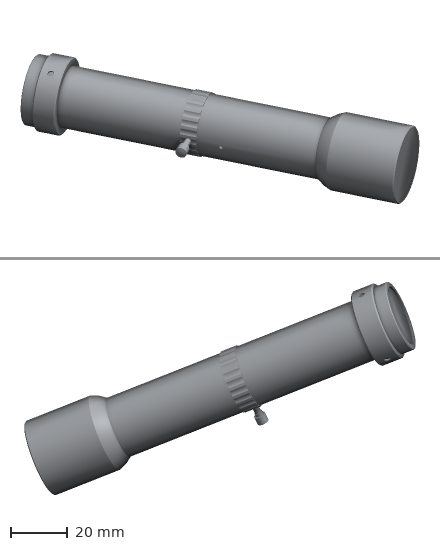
import cadquery as cq
import math

total_length = 139.0
tube_radius = 11.1

barrel_radius = 12.8
barrel_length = 4.5
barrel_chamfer = 0.3
neck_down_radius = 12.5
lens_radius = 11.0
lens_recess = 0.7
lens_bulge = 0.5
collar_radius = 14.0
collar_start = 4.7
collar_length = 8.3
collar_middle = collar_start + collar_length / 2
edge_chamfer = 0.4

screw_hole_diameter = 2.4
screw_hole_depth = 0.7
screw_hole_count = 3
first_screw_hole_angle = 66.0

ring_radius = 11.5
ring_start = 58.6
ring_length = 6.1
ring_middle = ring_start + ring_length / 2
ring_groove_count = 22
ring_groove_depth = 0.35
ring_land_share = 0.34

stem_radius = 1.18
neck_radius = 1.46
neck_start = 14.6
head_radius = 2.1
head_start = 15.8
head_end = 19.3
head_bulge = 0.4

side_hole_diameter = 1.4
side_hole_depth = 1.4
side_hole_position = 73.9

bell_radius = collar_radius
flare_start = 108.8
bell_start = 114.0
flare_bulge = 0.35


def cylinder_along_tube(start, length, radius):
    return cq.Workplane("YZ", origin=(start, 0, 0)).circle(radius).extrude(length)


def radial_hole(position, surface_radius, diameter, depth):
    """Cutter entering a round surface from the -Y side."""
    clearance = 1.4
    return (
        cq.Workplane("XZ", origin=(position, depth - surface_radius, 0))
        .circle(diameter / 2)
        .extrude(depth + clearance)
    )


def arc_radius(half_chord, rise):
    """Radius of an arc that rises by `rise` over a chord of twice `half_chord`."""
    return (half_chord**2 + rise**2) / (2 * rise)


def dome_drop(rim_radius, bulge, distance):
    """How far a spherical dome falls below its apex at a distance from its axis."""
    sphere_radius = arc_radius(rim_radius, bulge)
    return sphere_radius - math.sqrt(sphere_radius**2 - distance**2)


def make_lens_barrel():
    """Front barrel with a slightly domed lens set into its face."""
    apex = lens_recess - lens_bulge
    half_way = lens_radius / 2
    half_way_x = apex + dome_drop(lens_radius, lens_bulge, half_way)
    return (
        cq.Workplane("XY")
        .moveTo(apex, 0)
        .threePointArc((half_way_x, half_way), (lens_recess, lens_radius))
        .lineTo(0, lens_radius)
        .lineTo(0, barrel_radius - barrel_chamfer)
        .lineTo(barrel_chamfer, barrel_radius)
        .lineTo(barrel_length, barrel_radius)
        .lineTo(barrel_length, neck_down_radius)
        .lineTo(collar_middle, neck_down_radius)
        .lineTo(collar_middle, 0)
        .close()
        .revolve(360, (0, 0, 0), (1, 0, 0))
    )


def make_collar():
    """Chamfered collar with set screw holes spread evenly around it."""
    collar = cylinder_along_tube(collar_start, collar_length, collar_radius)
    collar = collar.faces("<X or >X").chamfer(edge_chamfer)
    hole = radial_hole(collar_middle, collar_radius, screw_hole_diameter, screw_hole_depth)
    for index in range(screw_hole_count):
        angle = first_screw_hole_angle + index * 360 / screw_hole_count
        collar = collar.cut(hole.rotate((0, 0, 0), (1, 0, 0), -angle))
    return collar


def make_ring():
    """Adjusting ring with hollow lengthwise grooves and narrow lands between them."""
    ring = cylinder_along_tube(ring_start, ring_length, ring_radius)
    pitch = 360 / ring_groove_count
    half_angle = math.radians(pitch * (1 - ring_land_share) / 2)
    half_width = ring_radius * math.sin(half_angle)
    edge_height = ring_radius * math.cos(half_angle)
    bottom = ring_radius - ring_groove_depth
    cutter_radius = arc_radius(half_width, edge_height - bottom)
    cutter = cylinder_along_tube(ring_start, ring_length, cutter_radius)
    cutter = cutter.translate((0, 0, bottom + cutter_radius))
    for index in range(ring_groove_count):
        angle = (index + 0.5) * pitch
        ring = ring.cut(cutter.rotate((0, 0, 0), (1, 0, 0), angle))
    return ring


def make_thumbscrew():
    """Stem, neck and head with a domed end, pointing towards -Y."""
    rim = head_end - head_bulge
    half_way = head_radius / 2
    half_way_y = head_end - dome_drop(head_radius, head_bulge, half_way)
    screw = (
        cq.Workplane("XY")
        .lineTo(stem_radius, 0)
        .lineTo(stem_radius, -neck_start)
        .lineTo(neck_radius, -neck_start)
        .lineTo(neck_radius, -head_start)
        .lineTo(head_radius, -head_start)
        .lineTo(head_radius, -rim)
        .threePointArc((half_way, -half_way_y), (0, -head_end))
        .close()
        .revolve(360, (0, 0, 0), (0, 1, 0))
    )
    return screw.translate((ring_middle, 0, 0))


def make_bell():
    """Eyepiece end: a rounded flare opening into a chamfered cylinder."""
    run = bell_start - flare_start
    rise = bell_radius - tube_radius
    chord = math.hypot(run, rise)
    flare_middle = (
        flare_start + run / 2 - flare_bulge * rise / chord,
        tube_radius + rise / 2 + flare_bulge * run / chord,
    )
    return (
        cq.Workplane("XY")
        .moveTo(flare_start, 0)
        .lineTo(flare_start, tube_radius)
        .threePointArc(flare_middle, (bell_start, bell_radius))
        .lineTo(total_length - edge_chamfer, bell_radius)
        .lineTo(total_length, bell_radius - edge_chamfer)
        .lineTo(total_length, 0)
        .close()
        .revolve(360, (0, 0, 0), (1, 0, 0))
    )


tube = cylinder_along_tube(collar_middle, flare_start - collar_middle, tube_radius)
tube = tube.cut(radial_hole(side_hole_position, tube_radius, side_hole_diameter, side_hole_depth))

result = (
    tube.union(make_lens_barrel())
    .union(make_collar())
    .union(make_ring())
    .union(make_thumbscrew())
    .union(make_bell())
)